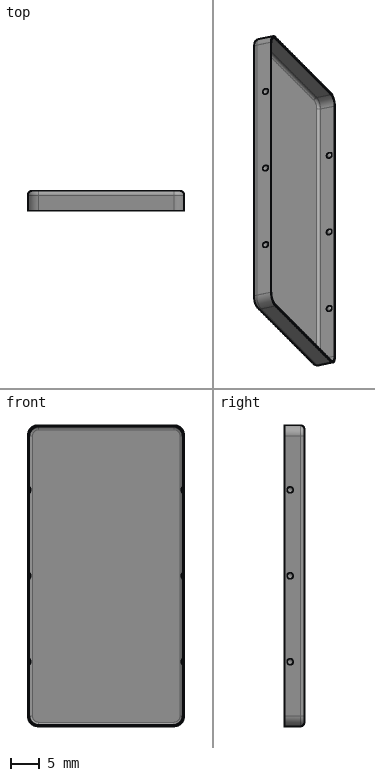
import cadquery as cq
import math

width = 27.3
depth = 3.5
height = 52.6

wall = 0.3
corner_radius = 1.85
back_edge_radius = 0.8
inner_edge_radius = back_edge_radius - wall

dimple_radius = 0.5
dimple_depth = 0.2
dimple_spacing = 15.0
dimple_rim_offset = 1.0

rim_y = -depth / 2
dimple_y = rim_y + dimple_rim_offset


def rounded_block(inset, edge_radius):
    """Block from the rim to the back, inset from the outer faces, with a rounded back edge."""
    block = (
        cq.Workplane("XZ", origin=(0, rim_y, 0))
        .rect(width - 2 * inset, height - 2 * inset)
        .extrude(-(depth - inset))
        .edges("|Y")
        .fillet(corner_radius - inset)
    )
    return block.faces(">Y").edges().fillet(edge_radius)


def dimple_cap(side, z, face_x):
    """Spherical cap standing inward from the wall face at distance face_x from the middle."""
    ball_radius = (dimple_radius**2 + dimple_depth**2) / (2 * dimple_depth)
    half_angle = math.asin(dimple_radius / ball_radius) / 2
    mid_rise = dimple_depth - ball_radius * (1 - math.cos(half_angle))
    mid_offset = ball_radius * math.sin(half_angle)
    return (
        cq.Workplane("XZ", origin=(side * face_x, dimple_y, z))
        .moveTo(0, 0)
        .lineTo(0, dimple_radius)
        .threePointArc((-side * mid_rise, mid_offset), (-side * dimple_depth, 0))
        .close()
        .revolve(360, (0, 0), (1, 0))
    )


outer_block = rounded_block(0, back_edge_radius)
inner_block = rounded_block(wall, inner_edge_radius)
result = outer_block.cut(inner_block)

for side in (-1, 1):
    for z in (-dimple_spacing, 0, dimple_spacing):
        bump = dimple_cap(side, z, width / 2 - wall)
        hollow = dimple_cap(side, z, width / 2)
        result = result.union(bump).cut(hollow)